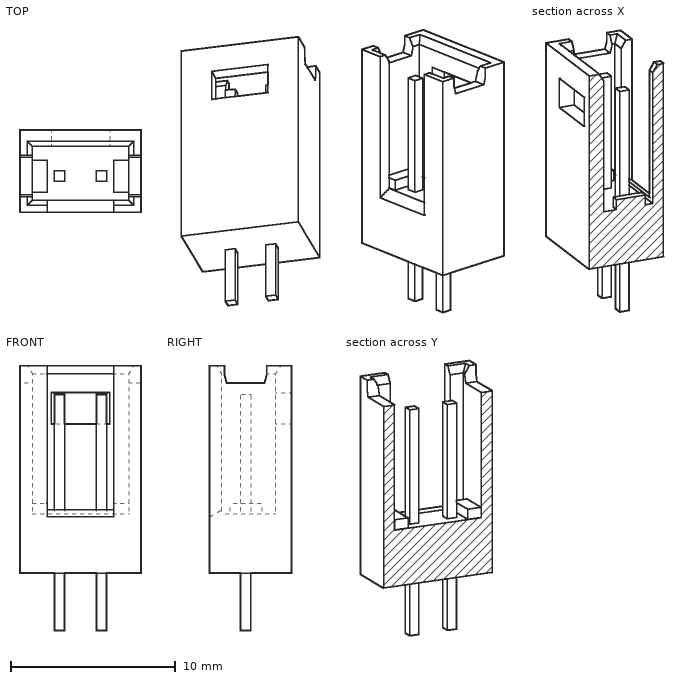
import cadquery as cq

body_width = 7.37
body_depth = 5.0
total_height = 16.1
pin_tail = 3.5

cavity_width = 5.85
cavity_front = 0.74
cavity_back = 4.01
cavity_depth = 9.0
mouth_flare = 0.3
mouth_height = 0.48

slot_width = 4.04
sill_rise = 0.24
sill_drop = 0.42

window_width = 3.55
window_height = 1.9
window_drop = 1.65

notch_length = 2.55
notch_depth = 1.05
notch_straight = 0.58
notch_taper = 0.13

pin_size = 0.63
pin_pitch = 2.55
pin_y = 2.2
pin_recess = 1.74
block_length = 1.95
block_height = 0.65

floor_z = total_height - cavity_depth
sill_z = floor_z + sill_rise
notch_front = pin_y - notch_length / 2
notch_back = pin_y + notch_length / 2
cavity_length = cavity_back - cavity_front
cavity_center_y = (cavity_front + cavity_back) / 2


def box(width, length, height, x, y, z):
    """Box centred on x and y, standing on z."""
    return cq.Workplane("XY").box(width, length, height, centered=(True, True, False)).translate((x, y, z))


def side_profile(points, width):
    """Prism of a YZ outline, centred across the housing width."""
    return cq.Workplane("YZ").polyline(points).close().extrude(width / 2, both=True)


def cavity():
    shaft = box(cavity_width, cavity_length, cavity_depth, 0, cavity_center_y, floor_z)
    mouth = (
        cq.Workplane("XY", origin=(0, cavity_center_y, total_height - mouth_height))
        .rect(cavity_width, cavity_length)
        .workplane(offset=mouth_height)
        .rect(cavity_width + 2 * mouth_flare, cavity_length + 2 * mouth_flare)
        .loft(ruled=True)
    )
    return shaft.union(mouth)


def front_slot():
    outline = [
        (0, total_height),
        (cavity_front, total_height),
        (cavity_front, sill_z),
        (0, sill_z - sill_drop),
    ]
    return side_profile(outline, slot_width)


def back_window():
    wall = body_depth - cavity_back
    bottom = total_height - window_drop - window_height
    return box(window_width, wall, window_height, 0, cavity_back + wall / 2, bottom)


def side_notches():
    taper_z = total_height - notch_straight
    bottom_z = total_height - notch_depth
    outline = [
        (notch_front, total_height),
        (notch_front, taper_z),
        (notch_front + notch_taper, bottom_z),
        (notch_back - notch_taper, bottom_z),
        (notch_back, taper_z),
        (notch_back, total_height),
    ]
    return side_profile(outline, body_width)


housing = box(body_width, body_depth, total_height - pin_tail, 0, body_depth / 2, pin_tail)
result = housing.cut(cavity()).cut(front_slot()).cut(back_window()).cut(side_notches())

block_width = (cavity_width - slot_width) / 2
block_x = (cavity_width - block_width) / 2
for side in (-1, 1):
    block = box(block_width, block_length, block_height, side * block_x, pin_y, floor_z)
    pin = box(pin_size, pin_size, total_height - pin_recess, side * pin_pitch / 2, pin_y, 0)
    result = result.union(block).union(pin)